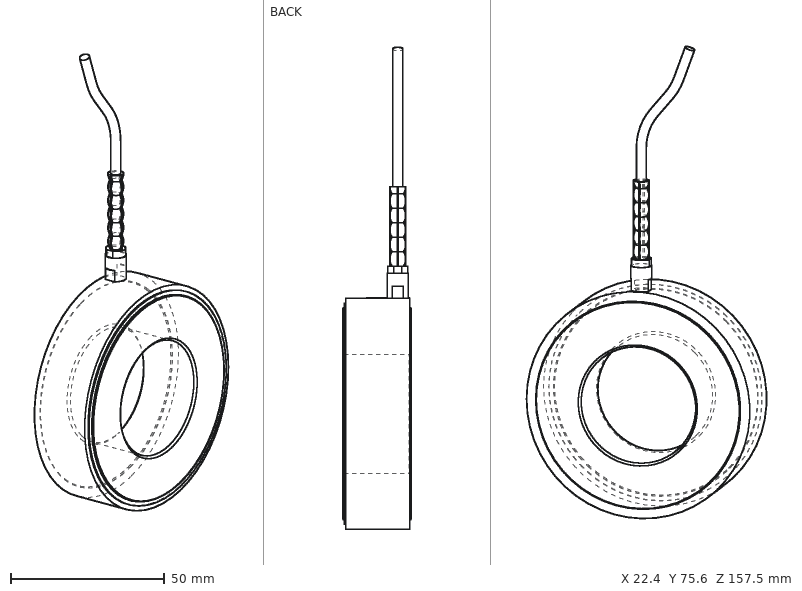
import cadquery as cq
import math

RING_RADIUS = 37.8
BORE_RADIUS = 19.4
BORE_CHAMFER = 0.8
RING_WIDTH = 22.4
FACE_STEP = 0.5
FACE_PLATE_RADIUS = 34.7
FACE_PLATE_CHAMFER = 0.3
FAR_STEP_RADIUS = 36.0

OUTLET_X = 4.4
CONNECTOR_RADIUS = 3.5
CONNECTOR_ROOT_Z = 34.7
COLLAR_BOTTOM_Z = 45.8
CONNECTOR_TOP_Z = 48.2
WRENCH_FLAT_TOP_Z = 41.6
WRENCH_FLAT_HALF_GAP = 2.91
COLLAR_RADIUS = 3.3
COLLAR_HALF_GAP = 3.07

BEAD_RADIUS = 2.6
BEAD_VALLEY_RADIUS = 1.9
BEAD_PITCH = 4.7
FULL_BEADS = 5
RIB_COUNT = 4
RIB_WIDTH = 0.5

TOTAL_HEIGHT = 157.5
TOP_Z = TOTAL_HEIGHT - RING_RADIUS
CABLE_RADIUS = 1.65
CABLE_BEND_RADIUS = 18.9
CABLE_BEND_Z = 85.0
CABLE_LEAN = math.radians(40)
CABLE_END_LEAN = math.radians(20)
CABLE_SLANT_LENGTH = 7.7


def disc(radius, x_start, x_end):
    return cq.Workplane("YZ", origin=(x_start, 0, 0)).circle(radius).extrude(x_end - x_start)


def make_ring():
    far_body_x = RING_WIDTH - 2 * FACE_STEP
    plates = disc(FACE_PLATE_RADIUS, 0, RING_WIDTH).edges().chamfer(FACE_PLATE_CHAMFER)
    ring = disc(RING_RADIUS, FACE_STEP, far_body_x)
    ring = ring.union(disc(FAR_STEP_RADIUS, FACE_STEP, far_body_x + FACE_STEP))
    ring = ring.union(plates)
    ring = ring.cut(disc(BORE_RADIUS, 0, RING_WIDTH))
    bore_rims = cq.selectors.RadiusNthSelector(0)
    return ring.edges(bore_rims).chamfer(BORE_CHAMFER)


def double_flat_post(radius, half_gap, bottom_z, top_z):
    """Round post with a flat on its -Y and +Y sides."""
    height = top_z - bottom_z
    post = cq.Workplane("XY", origin=(OUTLET_X, 0, bottom_z)).circle(radius).extrude(height)
    slab = cq.Workplane("XY", origin=(OUTLET_X, 0, bottom_z)).rect(
        2 * radius, 2 * half_gap).extrude(height)
    return post.intersect(slab)


def make_connector():
    foot = double_flat_post(CONNECTOR_RADIUS, WRENCH_FLAT_HALF_GAP, CONNECTOR_ROOT_Z, WRENCH_FLAT_TOP_Z)
    barrel = cq.Workplane("XY", origin=(OUTLET_X, 0, WRENCH_FLAT_TOP_Z)).circle(
        CONNECTOR_RADIUS).extrude(COLLAR_BOTTOM_Z - WRENCH_FLAT_TOP_Z)
    collar = double_flat_post(COLLAR_RADIUS, COLLAR_HALF_GAP, COLLAR_BOTTOM_Z, CONNECTOR_TOP_Z)
    return foot.union(barrel).union(collar)


def make_strain_relief():
    half_pitch = BEAD_PITCH / 2
    bulge = BEAD_RADIUS - BEAD_VALLEY_RADIUS
    arc_radius = (half_pitch ** 2 + bulge ** 2) / (2 * bulge)
    profile = cq.Workplane("XZ", origin=(OUTLET_X, 0, 0)).moveTo(0, CONNECTOR_TOP_Z)
    profile = profile.lineTo(BEAD_VALLEY_RADIUS, CONNECTOR_TOP_Z)
    for bead in range(FULL_BEADS):
        bead_z = CONNECTOR_TOP_Z + bead * BEAD_PITCH
        profile = profile.threePointArc(
            (BEAD_RADIUS, bead_z + half_pitch), (BEAD_VALLEY_RADIUS, bead_z + BEAD_PITCH))
    top_z = CONNECTOR_TOP_Z + FULL_BEADS * BEAD_PITCH + half_pitch
    profile = profile.radiusArc((BEAD_RADIUS, top_z), -arc_radius).lineTo(0, top_z)
    relief = profile.close().revolve(360, (0, 0, 0), (0, 1, 0))

    height = top_z - CONNECTOR_TOP_Z
    ribs = cq.Workplane("XY", origin=(OUTLET_X, 0, CONNECTOR_TOP_Z)).polarArray(
        BEAD_RADIUS / 2, 0, 360, RIB_COUNT).rect(BEAD_RADIUS, RIB_WIDTH).extrude(height)
    envelope = cq.Workplane("XY", origin=(OUTLET_X, 0, CONNECTOR_TOP_Z)).circle(BEAD_RADIUS).extrude(height)
    return relief.union(ribs.intersect(envelope))


def make_cable():
    def bend_point(start, lean_from, lean_to):
        """End of a bend that turns the cable from one lean to another."""
        turn = math.copysign(CABLE_BEND_RADIUS, lean_to - lean_from)
        y = start[0] - turn * (math.cos(lean_from) - math.cos(lean_to))
        z = start[1] + turn * (math.sin(lean_to) - math.sin(lean_from))
        return (y, z)

    def straight_point(start, lean, length):
        return (start[0] - length * math.sin(lean), start[1] + length * math.cos(lean))

    root = (0, CONNECTOR_TOP_Z)
    first_bend = (0, CABLE_BEND_Z)
    slant = bend_point(first_bend, 0, CABLE_LEAN)
    second_bend = straight_point(slant, CABLE_LEAN, CABLE_SLANT_LENGTH)
    tail = bend_point(second_bend, CABLE_LEAN, CABLE_END_LEAN)
    tip_z = TOP_Z - CABLE_RADIUS * math.sin(CABLE_END_LEAN)
    tip = straight_point(tail, CABLE_END_LEAN, (tip_z - tail[1]) / math.cos(CABLE_END_LEAN))

    path = cq.Workplane("YZ", origin=(OUTLET_X, 0, 0)).moveTo(*root).lineTo(*first_bend)
    path = path.threePointArc(bend_point(first_bend, 0, CABLE_LEAN / 2), slant)
    path = path.lineTo(*second_bend)
    mid_lean = (CABLE_LEAN + CABLE_END_LEAN) / 2
    path = path.threePointArc(bend_point(second_bend, CABLE_LEAN, mid_lean), tail).lineTo(*tip)
    section = cq.Workplane("XY", origin=(OUTLET_X, 0, CONNECTOR_TOP_Z)).circle(CABLE_RADIUS)
    return section.sweep(path)


result = make_ring().union(make_connector()).union(make_strain_relief()).union(make_cable())